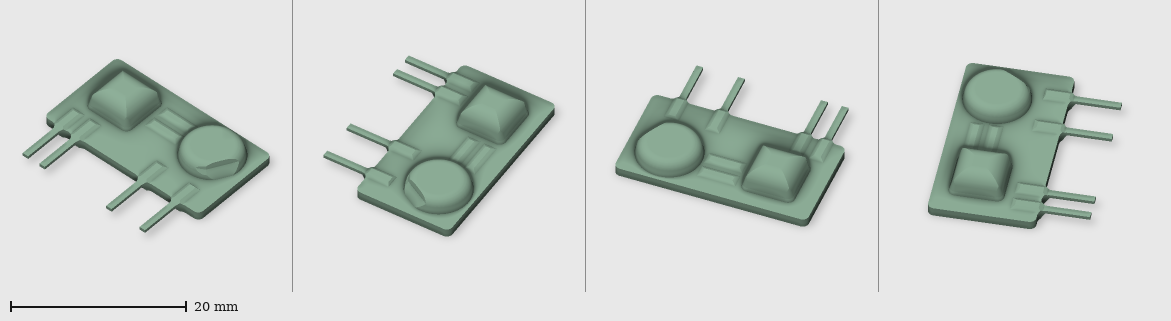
import cadquery as cq
import math


PLATE_LENGTH = 23.62
PLATE_DEPTH = 12.57
PLATE_THICKNESS = 1.15
PLATE_CORNER_RADIUS = 0.75

FIRST_LEAD_X = 2.5
LEAD_SPAN = 17.79
LEAD_SLOTS = (0, 1, 5)
SHORT_PAD_SLOT = 7
LEAD_PITCH = LEAD_SPAN / SHORT_PAD_SLOT
LEAD_WIDTH = 0.83
LEAD_LENGTH = 5.98
LEAD_THICKNESS = 0.43
ROOT_RADIUS = 0.85
ROOT_BEVEL_START = 0.25
ROOT_BEVEL_END = 0.78

PAD_HEIGHT = 0.3
PAD_TOP_DEPTH = 2.75
PAD_SLOPE_RUN = 0.52
SHORT_PAD_BACK_RUN = 0.25

BAR_LENGTH = 4.75
BAR_WIDTH = 1.7
BAR_HEIGHT = 0.25
BAR_SLOPE_RUN = 0.52
BAR_X = 11.95
BAR_YS = (7.35, 9.55)

SQUARE_X = 5.72
SQUARE_Y = 7.46
SQUARE_TOP_Z = 3.95
SQUARE_BASE_SIDE = 6.47
SQUARE_BASE_CORNER_RADIUS = 0.83
SQUARE_FOOT_HEIGHT = 0.43
SQUARE_FOOT_DRAFT = 22.0
SQUARE_DRAFT = 15.0
SQUARE_CROWN_RADIUS = 2.0

ROUND_X = 18.52
ROUND_Y = 8.08
ROUND_TOP_Z = 2.9
ROUND_BASE_RADIUS = 4.0
ROUND_DRAFT = 16.0
ROUND_CROWN_RADIUS = 1.25
BITE_CREASE_Z = 2.25
BITE_UPPER_RUN = 0.2
MAIN_BITE_DIRECTION = -29.0
MAIN_BITE_CREASE_REACH = 2.93
MAIN_BITE_BASE_REACH = 3.83
TAIL_BITE_DIRECTION = -61.0
TAIL_BITE_CREASE_REACH = 3.45
TAIL_BITE_BASE_REACH = 4.25


def crowned_half_profile(base_reach, height, draft, crown_radius):
    """Closed half outline from the axis: drafted wall, tangent crown arc, flat top."""
    angle = math.radians(draft)
    crown_z = height - crown_radius * (1 - math.sin(angle))
    wall_top = base_reach - crown_z * math.tan(angle)
    centre_x = wall_top - crown_radius * math.cos(angle)
    centre_z = height - crown_radius
    middle = (angle + math.pi / 2) / 2
    arc_middle = (
        centre_x + crown_radius * math.cos(middle),
        centre_z + crown_radius * math.sin(middle),
    )
    return (
        cq.Workplane("XZ")
        .lineTo(base_reach, 0)
        .lineTo(wall_top, crown_z)
        .threePointArc(arc_middle, (centre_x, height))
        .lineTo(0, height)
        .close()
    )


def frustum(base, top, bottom_z, top_z):
    """Solid between two rectangles, each given as (x_min, x_max, y_min, y_max)."""
    base_x = (base[0] + base[1]) / 2
    base_y = (base[2] + base[3]) / 2
    top_x = (top[0] + top[1]) / 2
    top_y = (top[2] + top[3]) / 2
    return (
        cq.Workplane("XY", origin=(0, 0, bottom_z))
        .center(base_x, base_y)
        .rect(base[1] - base[0], base[3] - base[2])
        .workplane(offset=top_z - bottom_z)
        .center(top_x - base_x, top_y - base_y)
        .rect(top[1] - top[0], top[3] - top[2])
        .loft(ruled=True)
    )


def make_plate():
    return (
        cq.Workplane("XY")
        .rect(PLATE_LENGTH, PLATE_DEPTH)
        .extrude(PLATE_THICKNESS)
        .edges("|Z")
        .fillet(PLATE_CORNER_RADIUS)
        .translate((PLATE_LENGTH / 2, PLATE_DEPTH / 2, 0))
    )


def make_root(height):
    """Flared lead root, centred on X = 0 and overlapping the plate's front edge."""
    half_lead = LEAD_WIDTH / 2
    half_root = half_lead + ROOT_RADIUS
    to_arc_middle = ROOT_RADIUS * (1 - math.sqrt(0.5))
    outline = (
        cq.Workplane("XY")
        .moveTo(-half_root, PLATE_CORNER_RADIUS)
        .lineTo(-half_root, 0)
        .threePointArc((-half_lead - to_arc_middle, -to_arc_middle), (-half_lead, -ROOT_RADIUS))
        .lineTo(half_lead, -ROOT_RADIUS)
        .threePointArc((half_lead + to_arc_middle, -to_arc_middle), (half_root, 0))
        .lineTo(half_root, PLATE_CORNER_RADIUS)
        .close()
    )
    return outline.extrude(height)


def make_lead(x, back_run):
    """Lead strip, its bevelled root and the sloped pad above it."""
    half_lead = LEAD_WIDTH / 2
    half_pad = half_lead + PAD_SLOPE_RUN
    lead_bottom = PLATE_THICKNESS - LEAD_THICKNESS
    strip = (
        cq.Workplane("XY", origin=(0, -LEAD_LENGTH / 2, lead_bottom))
        .rect(LEAD_WIDTH, LEAD_LENGTH)
        .extrude(LEAD_THICKNESS)
    )
    bevel = (
        cq.Workplane("YZ")
        .moveTo(-ROOT_BEVEL_START, 0)
        .lineTo(-ROOT_BEVEL_END, lead_bottom)
        .lineTo(-LEAD_LENGTH, lead_bottom)
        .lineTo(-LEAD_LENGTH, 0)
        .close()
        .extrude(PLATE_LENGTH, both=True)
    )
    pad = frustum(
        (-half_pad, half_pad, -PAD_SLOPE_RUN, PAD_TOP_DEPTH + back_run),
        (-half_lead, half_lead, 0, PAD_TOP_DEPTH),
        PLATE_THICKNESS,
        PLATE_THICKNESS + PAD_HEIGHT,
    )
    pad_region = make_root(PLATE_THICKNESS + PAD_HEIGHT).union(
        cq.Workplane("XY", origin=(0, PLATE_DEPTH / 2, 0))
        .rect(2 * half_pad, PLATE_DEPTH)
        .extrude(PLATE_THICKNESS + PAD_HEIGHT)
    )
    root = make_root(PLATE_THICKNESS).cut(bevel)
    return root.union(strip).union(pad.intersect(pad_region)).translate((x, 0, 0))


def make_bar(y):
    half_length = BAR_LENGTH / 2
    half_width = BAR_WIDTH / 2
    top_half_length = half_length - BAR_SLOPE_RUN
    top_half_width = half_width - BAR_SLOPE_RUN
    return frustum(
        (-half_length, half_length, -half_width, half_width),
        (-top_half_length, top_half_length, -top_half_width, top_half_width),
        PLATE_THICKNESS,
        PLATE_THICKNESS + BAR_HEIGHT,
    ).translate((BAR_X, y, 0))


def rounded_square(side, corner_radius):
    return cq.Sketch().rect(side, side).vertices().fillet(corner_radius)


def make_square_dome():
    """Tapered rounded square, its crown formed by two crossing arched vaults."""
    foot_inset = SQUARE_FOOT_HEIGHT * math.tan(math.radians(SQUARE_FOOT_DRAFT))
    wall_side = SQUARE_BASE_SIDE - 2 * foot_inset
    wall_height = SQUARE_TOP_Z - PLATE_THICKNESS - SQUARE_FOOT_HEIGHT
    foot = (
        cq.Workplane("XY")
        .placeSketch(rounded_square(SQUARE_BASE_SIDE, SQUARE_BASE_CORNER_RADIUS))
        .extrude(SQUARE_FOOT_HEIGHT, taper=SQUARE_FOOT_DRAFT)
    )
    body = (
        cq.Workplane("XY")
        .placeSketch(rounded_square(wall_side, SQUARE_BASE_CORNER_RADIUS - foot_inset))
        .extrude(wall_height, taper=SQUARE_DRAFT)
    )
    half_vault = crowned_half_profile(
        wall_side / 2, wall_height, SQUARE_DRAFT, SQUARE_CROWN_RADIUS
    ).extrude(SQUARE_BASE_SIDE, both=True)
    vault = half_vault.union(half_vault.mirror("YZ"))
    crossing_vault = vault.rotate((0, 0, 0), (0, 0, 1), 90)
    crowned_body = body.intersect(vault).intersect(crossing_vault)
    dome = foot.union(crowned_body.translate((0, 0, SQUARE_FOOT_HEIGHT)))
    return dome.translate((SQUARE_X, SQUARE_Y, PLATE_THICKNESS))


def make_bite(direction, crease_reach, base_reach):
    """Cutter for one straight bite, facing the given direction from the dome's axis."""
    height = ROUND_TOP_Z - PLATE_THICKNESS
    crease_z = BITE_CREASE_Z - PLATE_THICKNESS
    outer_reach = 2 * ROUND_BASE_RADIUS
    return (
        cq.Workplane("XZ")
        .moveTo(base_reach, 0)
        .lineTo(crease_reach, crease_z)
        .lineTo(crease_reach - BITE_UPPER_RUN, height)
        .lineTo(outer_reach, height)
        .lineTo(outer_reach, 0)
        .close()
        .extrude(ROUND_BASE_RADIUS, both=True)
        .rotate((0, 0, 0), (0, 0, 1), direction)
    )


def make_round_dome():
    """Drafted disc with a rounded rim and the two-part bite."""
    dome = crowned_half_profile(
        ROUND_BASE_RADIUS, ROUND_TOP_Z - PLATE_THICKNESS, ROUND_DRAFT, ROUND_CROWN_RADIUS
    ).revolve(360, (0, 0), (0, 1))
    main_bite = make_bite(MAIN_BITE_DIRECTION, MAIN_BITE_CREASE_REACH, MAIN_BITE_BASE_REACH)
    tail_bite = make_bite(TAIL_BITE_DIRECTION, TAIL_BITE_CREASE_REACH, TAIL_BITE_BASE_REACH)
    bitten_dome = dome.cut(main_bite).cut(tail_bite)
    return bitten_dome.translate((ROUND_X, ROUND_Y, PLATE_THICKNESS))


result = make_plate()
for slot in LEAD_SLOTS:
    result = result.union(make_lead(FIRST_LEAD_X + slot * LEAD_PITCH, PAD_SLOPE_RUN))
result = result.union(make_lead(FIRST_LEAD_X + LEAD_SPAN, SHORT_PAD_BACK_RUN))
for bar_y in BAR_YS:
    result = result.union(make_bar(bar_y))
result = result.union(make_square_dome())
result = result.union(make_round_dome())